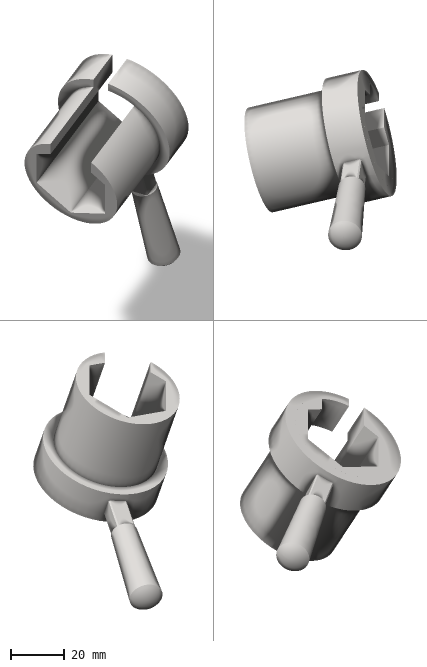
import cadquery as cq
import math

sleeve_length = 46.0
sleeve_radius = 20.3
hex_across_flats = 29.8
sleeve_slot_width = 17.8

ring_radius = 24.4
ring_length = 14.1
ring_slot_right_x = -2.5

lever_angle = 13.8
shank_width = 7.3
shank_edge_chamfer = 0.5

grip_start = 38.5
grip_end = 74.2
grip_start_radius = 5.1
grip_end_radius = 6.4
grip_dome_height = 3.2

ring_start_y = sleeve_length - ring_length
ring_middle_y = sleeve_length - ring_length / 2
slot_left_x = -sleeve_slot_width / 2
hex_across_corners = hex_across_flats / math.cos(math.radians(30))
slot_height = 2 * ring_radius


def cylinder_along_y(radius, start_y, length):
    return cq.Workplane("XZ", origin=(0, start_y, 0)).circle(radius).extrude(-length)


def upper_slot(left_x, right_x):
    """Cutter from the bore axis upwards, running the full length."""
    return cq.Workplane("XY").box(
        right_x - left_x, sleeve_length, slot_height, centered=False
    ).translate((left_x, 0, 0))


def place_on_lever(body):
    """Swing a body built along -Z from the bore axis to the lever position."""
    return body.rotate((0, 0, 0), (0, 1, 0), -lever_angle).translate((0, ring_middle_y, 0))


def make_sleeve():
    """Round sleeve with a hexagonal bore, point down, and an open top."""
    sleeve = cylinder_along_y(sleeve_radius, 0, sleeve_length)
    hex_bore = (
        cq.Workplane("XZ")
        .polygon(6, hex_across_corners)
        .extrude(-sleeve_length)
        .rotate((0, 0, 0), (0, 1, 0), 30)
    )
    return sleeve.cut(hex_bore).cut(upper_slot(slot_left_x, -slot_left_x))


def make_ring_with_shank():
    """Split ring around the sleeve, carrying the square lever shank."""
    ring = cylinder_along_y(ring_radius, ring_start_y, ring_length)
    ring = ring.cut(upper_slot(slot_left_x, ring_slot_right_x))
    shank = (
        cq.Workplane("XY")
        .rect(shank_width, shank_width)
        .extrude(-grip_start)
        .edges("|Z")
        .chamfer(shank_edge_chamfer)
    )
    bore = cylinder_along_y(sleeve_radius, ring_start_y, ring_length)
    return ring.union(place_on_lever(shank)).cut(bore)


def make_grip():
    """Tapered round grip with a domed end, seated on the end of the shank."""
    dome_radius = (grip_end_radius**2 + grip_dome_height**2) / (2 * grip_dome_height)
    dome_center_z = -(grip_end + grip_dome_height - dome_radius)
    half_angle = math.asin(grip_end_radius / dome_radius) / 2
    dome_middle = (
        dome_radius * math.sin(half_angle),
        dome_center_z - dome_radius * math.cos(half_angle),
    )
    grip = (
        cq.Workplane("XZ")
        .moveTo(0, -grip_start)
        .lineTo(grip_start_radius, -grip_start)
        .lineTo(grip_end_radius, -grip_end)
        .threePointArc(dome_middle, (0, -grip_end - grip_dome_height))
        .close()
        .revolve(360, (0, 0, 0), (0, 1, 0))
    )
    return place_on_lever(grip)


sleeve = make_sleeve()
ring_with_shank = make_ring_with_shank()
grip = make_grip()

result = cq.Compound.makeCompound([sleeve.val(), ring_with_shank.val(), grip.val()])